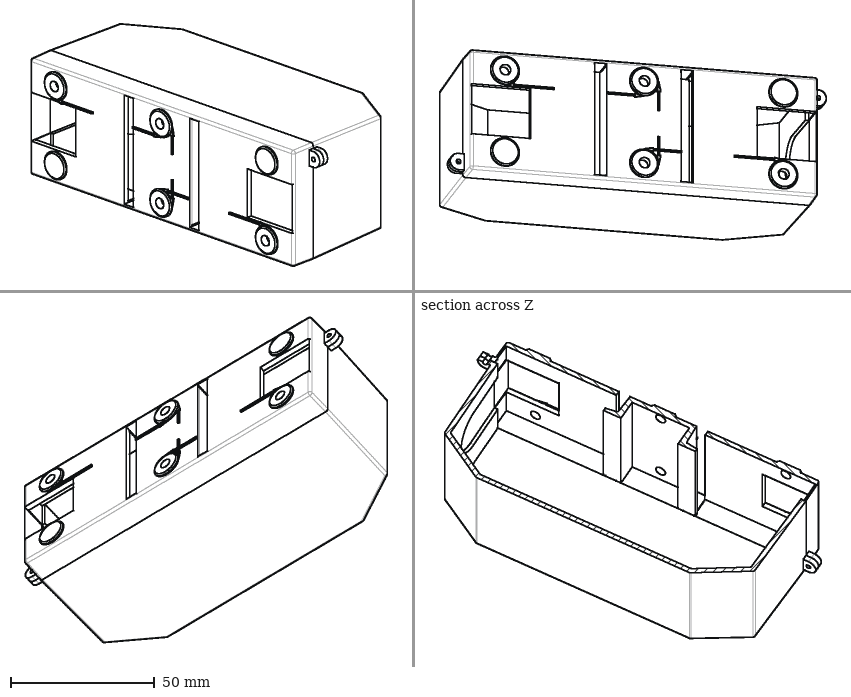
import cadquery as cq
import math

BOX_X = 125.0
BOX_Z = 44.0
HOUSING_DEPTH = 47.2
COVER_DEPTH = 10.0
DRAFT = 1.0
WALL = 2.0
COVER_END_WALL = 0.8
EDGE_RADIUS = 1.0
DRAFT_SLOPE = math.tan(math.radians(DRAFT))

SLOPE_START_Y = 35.6
BACK_HALF_X = 42.7
FLANK_HALF_X = BOX_X / 2 - SLOPE_START_Y * DRAFT_SLOPE
SLOPE_ANGLE = math.atan2(HOUSING_DEPTH - SLOPE_START_Y, FLANK_HALF_X - BACK_HALF_X)

LUG_TIP_X = 67.5
LUG_Z = 17.0
LUG_RADIUS = 3.0
LUG_HALF_THICKNESS = 2.0
LUG_HOLE_RADIUS = 0.8

WINDOW_INNER_X = 40.6
WINDOW_OUTER_X = 61.8
WINDOW_HALF_Z = 9.2
RECESS_CENTRE_Y = 17.5
RECESS_SKIN = 0.7

SLOT_INNER_X = 13.4
SLOT_OUTER_X = 17.7
SLOT_HALF_Z = 20.5
RIB_FOOT_X = 13.8
FLANGE_Y = -2.0
FLANGE_TIP_X = 18.4
FLANGE_ANGLE = 8.0

FOOT_RADIUS = 5.1
FOOT_HEIGHT = 1.0
FOOT_CHAMFER = 0.5
FOOT_PITCH_X = 50.0
FOOT_Z = 15.0
FOOT_HOLE_RADIUS = 1.9
FEET = [(x, z) for x in (-FOOT_PITCH_X, 0, FOOT_PITCH_X) for z in (-FOOT_Z, FOOT_Z)]
PLAIN_FEET = [(-FOOT_PITCH_X, -FOOT_Z), (FOOT_PITCH_X, FOOT_Z)]

ARROW_OFFSET = 5.3
ARROW_LENGTH = 3.2
ARROW_HALF_WIDTH = 0.7
LINE_WIDTH = 0.5
MARK_HEIGHT = 0.5
LONG_TEXT_GAP = 14.8
SHORT_TEXT_GAP = 9.7


def box_between(x, y, z):
    """Box spanning the given (low, high) ranges."""
    size = [high - low for low, high in (x, y, z)]
    return cq.Workplane("XY").box(*size, centered=False).translate((x[0], y[0], z[0]))


def plane_at(y, direction):
    """Plane parallel to XZ at the given Y, with its normal along +Y or -Y."""
    return cq.Workplane(cq.Plane(origin=(0, y, 0), xDir=(1, 0, 0), normal=(0, direction, 0)))


def drafted_block(inset_x, inset_z, depth, direction):
    """Drafted block standing on the parting plane, inset from the ends and from the top and bottom."""
    sketch = plane_at(0, direction).rect(BOX_X - 2 * inset_x, BOX_Z - 2 * inset_z)
    return sketch.extrude(depth, taper=DRAFT)


def housing_block(inset):
    """Housing envelope with its sloped back corners, moved inward by the inset."""
    block = drafted_block(inset, inset, HOUSING_DEPTH - inset, 1)
    reach = BOX_X
    for side in (-1, 1):
        corner = (
            box_between((-reach, reach), (0, reach), (-BOX_Z, BOX_Z))
            .translate((0, -inset, 0))
            .rotate((0, 0, 0), (0, 0, 1), -side * math.degrees(SLOPE_ANGLE))
            .translate((side * BACK_HALF_X, HOUSING_DEPTH, 0))
        )
        block = block.cut(corner)
    return block


def round_outside(block):
    """Round every edge except those on the parting plane."""
    edges = [edge for edge in block.edges().vals() if abs(edge.Center().y) > EDGE_RADIUS]
    return block.newObject(edges).fillet(EDGE_RADIUS)


def lug_halves(direction):
    """The half of each lug that lies on one side of the parting plane."""
    centre_x = LUG_TIP_X - LUG_RADIUS
    root_x = BOX_X / 2 - COVER_END_WALL / 2
    centres = [(side * centre_x, side * LUG_Z) for side in (-1, 1)]
    lugs = cq.Workplane("XZ").pushPoints(centres).circle(LUG_RADIUS).extrude(LUG_HALF_THICKNESS)
    roots = [(side * (centre_x + root_x) / 2, side * LUG_Z) for side in (-1, 1)]
    arms = cq.Workplane("XZ").pushPoints(roots).rect(centre_x - root_x, 2 * LUG_RADIUS)
    holes = cq.Workplane("XZ").pushPoints(centres).circle(LUG_HOLE_RADIUS)
    lugs = lugs.union(arms.extrude(LUG_HALF_THICKNESS)).cut(holes.extrude(LUG_HALF_THICKNESS))
    return lugs.mirror("XZ") if direction > 0 else lugs


def end_recess(side):
    """Rounded channel that runs from a window into the end wall of the housing."""
    span = sorted((side * WINDOW_INNER_X, side * WINDOW_OUTER_X))
    channel = box_between(span, (-COVER_DEPTH, RECESS_CENTRE_Y), (-WINDOW_HALF_Z, WINDOW_HALF_Z))
    rounded_end = (
        cq.Workplane("YZ", origin=(span[0], 0, 0))
        .center(RECESS_CENTRE_Y, 0)
        .circle(WINDOW_HALF_Z)
        .extrude(span[1] - span[0])
    )
    return channel.union(rounded_end)


def strap_slot(side):
    """Slot through the cover face and into its top and bottom walls."""
    span = sorted((side * SLOT_INNER_X, side * SLOT_OUTER_X))
    return box_between(span, (-COVER_DEPTH - MARK_HEIGHT, 0), (-SLOT_HALF_Z, SLOT_HALF_Z))


def strap_rib(side):
    """Rib beside a slot, with a flange that slopes away beneath the slot."""
    flange_rise = (FLANGE_TIP_X - RIB_FOOT_X) * math.tan(math.radians(FLANGE_ANGLE))
    half_z = BOX_Z / 2 - WALL
    profile = [
        (SLOT_INNER_X - WALL, -COVER_DEPTH + WALL / 2),
        (SLOT_INNER_X, -COVER_DEPTH + WALL / 2),
        (RIB_FOOT_X, FLANGE_Y),
        (FLANGE_TIP_X, FLANGE_Y + flange_rise),
        (FLANGE_TIP_X, 0),
        (SLOT_INNER_X - WALL, 0),
    ]
    points = [(side * x, y) for x, y in profile]
    return cq.Workplane("XY").polyline(points).close().extrude(half_z, both=True)


def feet():
    """Round feet with a chamfered rim, rising from the cover face."""
    pads = plane_at(-COVER_DEPTH, -1).pushPoints(FEET).circle(FOOT_RADIUS).extrude(FOOT_HEIGHT)
    return pads.faces("<Y").edges().chamfer(FOOT_CHAMFER)


def foot_holes():
    """Screw holes through the feet and the cover face; two opposite feet have none."""
    places = [foot for foot in FEET if foot not in PLAIN_FEET]
    start = plane_at(-COVER_DEPTH - FOOT_HEIGHT, -1)
    return start.pushPoints(places).circle(FOOT_HOLE_RADIUS).extrude(-(FOOT_HEIGHT + WALL))


def dimension_mark(length, text_gap):
    """Double-headed arrow along X, centred on the origin, with a gap for its text."""
    half = length / 2
    mark = cq.Workplane("XZ")
    for side in (-1, 1):
        head = [
            (side * half, 0),
            (side * (half - ARROW_LENGTH), ARROW_HALF_WIDTH),
            (side * (half - ARROW_LENGTH), -ARROW_HALF_WIDTH),
        ]
        line_start = text_gap / 2
        line_end = half - ARROW_LENGTH
        line = cq.Workplane("XZ").center(side * (line_start + line_end) / 2, 0)
        mark = mark.union(cq.Workplane("XZ").polyline(head).close().extrude(MARK_HEIGHT))
        mark = mark.union(line.rect(line_end - line_start, LINE_WIDTH).extrude(MARK_HEIGHT))
    return mark.translate((0, -COVER_DEPTH, 0))


def dimension_marks():
    """The two marks for the foot pitch along X and the one for the pitch along Z."""
    row_z = FOOT_Z - ARROW_OFFSET
    upper = dimension_mark(FOOT_PITCH_X, LONG_TEXT_GAP).translate((-FOOT_PITCH_X / 2, 0, row_z))
    lower = dimension_mark(FOOT_PITCH_X, LONG_TEXT_GAP).translate((FOOT_PITCH_X / 2, 0, -row_z))
    upright = (
        dimension_mark(2 * FOOT_Z, SHORT_TEXT_GAP)
        .rotate((0, 0, 0), (0, 1, 0), 90)
        .translate((ARROW_OFFSET, 0, 0))
    )
    return upper.union(lower).union(upright)


def make_housing():
    body = round_outside(housing_block(0)).cut(housing_block(WALL))
    recess_limit = drafted_block(RECESS_SKIN, RECESS_SKIN, HOUSING_DEPTH, 1)
    for side in (-1, 1):
        body = body.cut(end_recess(side).intersect(recess_limit))
    return body.union(lug_halves(1))


def make_cover():
    outside = round_outside(drafted_block(0, 0, COVER_DEPTH, -1))
    body = outside.cut(drafted_block(COVER_END_WALL, WALL, COVER_DEPTH - WALL, -1))
    body = body.union(dimension_marks())
    for side in (-1, 1):
        body = body.cut(strap_slot(side))
        body = body.union(strap_rib(side).intersect(outside))
        body = body.cut(end_recess(side))
    body = body.union(feet()).cut(foot_holes())
    return body.union(lug_halves(-1))


housing = make_housing()
cover = make_cover()
result = cq.Compound.makeCompound([housing.val(), cover.val()])